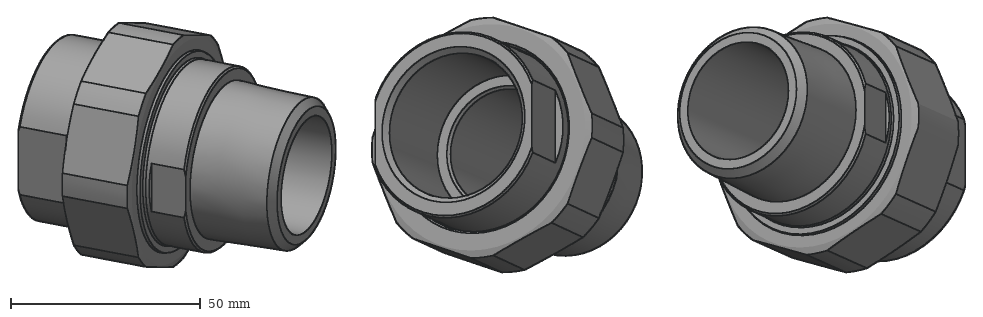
import cadquery as cq
import math

LENGTH = 73.0
SHOULDER_RADIUS = 25.0
EDGE_CHAMFER = 0.5
FLAT_END_SLOPE = 15.0

NUT_START = 16.6
NUT_END = 36.35
NUT_ACROSS_FLATS = 62.0
NUT_CORNER_RADIUS = 32.35
NUT_SIDES = 8
NUT_FACE_RADIUS = 30.45
NUT_BEVEL_ANGLE = 15.0
NUT_MOUTH_RADIUS = 25.25
NUT_MOUTH_CHAMFER = 0.6
NUT_BORE_RADIUS = 27.19
LIP_THICKNESS = 4.0
LIP_END = NUT_START + LIP_THICKNESS

SOCKET_BORE_RADIUS = 19.5
SOCKET_MOUTH_CHAMFER = 1.45
SOCKET_FLANGE_THICKNESS = 9.5
SOCKET_END = LIP_END + SOCKET_FLANGE_THICKNESS
SOCKET_FLAT_LENGTH = 14.0
SOCKET_FLAT_DISTANCE = 23.0

COLLAR_END = 37.15
COLLAR_END_RADIUS = 27.0
COLLAR_FOOT_RADIUS = 25.25
COLLAR_FOOT_LENGTH = 0.7
SHOULDER_END = 49.05
TAIL_FLAT_START = 39.1
TAIL_FLAT_DISTANCE = 24.0
THREAD_START = 49.8
THREAD_START_RADIUS = 21.3
THREAD_END_RADIUS = 20.6
THREAD_CHAMFER = 2.05
TAIL_BORE_RADIUS = 16.0
TAIL_BORE_CHAMFER = 0.7


def revolve_about_x(points):
    """Revolve an outline of (x, radius) points about the X axis."""
    return cq.Workplane("XY").polyline(points).close().revolve(360, (0, 0, 0), (1, 0, 0))


def cut_flats(body, distance, floor_end, open_end):
    """Cut two flats facing +Y and -Y, from open_end to a sloped wall at floor_end."""
    outer_distance = SHOULDER_RADIUS + 0.7
    slope_run = (outer_distance - distance) * math.tan(math.radians(FLAT_END_SLOPE))
    wall_top = floor_end + math.copysign(slope_run, floor_end - open_end)
    for side in (1, -1):
        pocket = (
            cq.Workplane("XY")
            .polyline([
                (open_end, side * distance),
                (floor_end, side * distance),
                (wall_top, side * outer_distance),
                (open_end, side * outer_distance),
            ])
            .close()
            .extrude(SHOULDER_RADIUS, both=True)
        )
        body = body.cut(pocket)
    return body


def make_socket():
    """Socket with a through bore, a flange held inside the nut and two flats."""
    socket = revolve_about_x([
        (0, SOCKET_BORE_RADIUS + SOCKET_MOUTH_CHAMFER),
        (0, SHOULDER_RADIUS - EDGE_CHAMFER),
        (EDGE_CHAMFER, SHOULDER_RADIUS),
        (LIP_END, SHOULDER_RADIUS),
        (LIP_END, NUT_BORE_RADIUS),
        (SOCKET_END, NUT_BORE_RADIUS),
        (SOCKET_END, SOCKET_BORE_RADIUS),
        (SOCKET_MOUTH_CHAMFER, SOCKET_BORE_RADIUS),
    ])
    return cut_flats(socket, SOCKET_FLAT_DISTANCE, SOCKET_FLAT_LENGTH, 0)


def make_nut():
    """Octagonal nut with rounded corners, bevelled ends and a lip at its -X end."""
    bevel_length = (NUT_CORNER_RADIUS - NUT_FACE_RADIUS) * math.tan(math.radians(NUT_BEVEL_ANGLE))
    turned = revolve_about_x([
        (NUT_START, NUT_MOUTH_RADIUS + NUT_MOUTH_CHAMFER),
        (NUT_START, NUT_FACE_RADIUS),
        (NUT_START + bevel_length, NUT_CORNER_RADIUS),
        (NUT_END - bevel_length, NUT_CORNER_RADIUS),
        (NUT_END, NUT_FACE_RADIUS),
        (NUT_END, NUT_BORE_RADIUS),
        (LIP_END, NUT_BORE_RADIUS),
        (LIP_END, NUT_MOUTH_RADIUS),
        (NUT_START + NUT_MOUTH_CHAMFER, NUT_MOUTH_RADIUS),
    ])
    octagon = (
        cq.Workplane("YZ", origin=(NUT_START, 0, 0))
        .polygon(NUT_SIDES, NUT_ACROSS_FLATS, circumscribed=True)
        .extrude(NUT_END - NUT_START)
        .rotate((0, 0, 0), (1, 0, 0), 180 / NUT_SIDES)
    )
    return turned.intersect(octagon)


def make_tailpiece():
    """Tailpiece with a collar inside the nut, a shoulder with two flats and a taper thread."""
    tailpiece = revolve_about_x([
        (SOCKET_END, TAIL_BORE_RADIUS + TAIL_BORE_CHAMFER),
        (SOCKET_END, NUT_BORE_RADIUS),
        (NUT_END, NUT_BORE_RADIUS),
        (COLLAR_END, COLLAR_END_RADIUS),
        (COLLAR_END, COLLAR_FOOT_RADIUS),
        (COLLAR_END + COLLAR_FOOT_LENGTH, SHOULDER_RADIUS),
        (SHOULDER_END - EDGE_CHAMFER, SHOULDER_RADIUS),
        (SHOULDER_END, SHOULDER_RADIUS - EDGE_CHAMFER),
        (SHOULDER_END, THREAD_START_RADIUS),
        (THREAD_START, THREAD_START_RADIUS),
        (LENGTH - THREAD_CHAMFER, THREAD_END_RADIUS),
        (LENGTH, THREAD_END_RADIUS - THREAD_CHAMFER),
        (LENGTH, TAIL_BORE_RADIUS),
        (SOCKET_END + TAIL_BORE_CHAMFER, TAIL_BORE_RADIUS),
    ])
    return cut_flats(tailpiece, TAIL_FLAT_DISTANCE, TAIL_FLAT_START, SHOULDER_END)


socket = make_socket()
nut = make_nut()
tailpiece = make_tailpiece()

result = cq.Compound.makeCompound([socket.val(), nut.val(), tailpiece.val()])